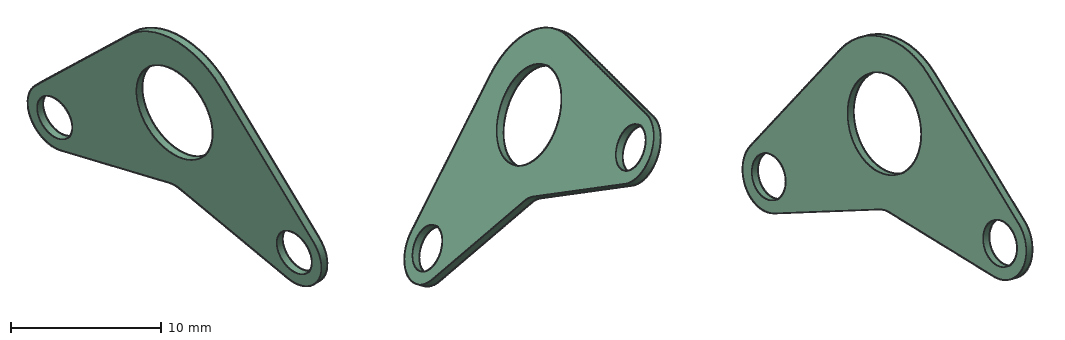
import cadquery as cq
import math

thickness = 0.6
ear_spacing = 22.0
ear_diameter = 5.0
ear_hole_diameter = 3.2
crown_radius = 6.0
crown_height = 6.0
crown_hole_diameter = 7.0
lower_edge_angle = math.radians(13.4)
notch_radius = 2.0

ear_radius = ear_diameter / 2
ear_x = ear_spacing / 2


def arc_point(center, radius, angle):
    """Point on a circle, with the angle measured from +X."""
    return (center[0] + radius * math.cos(angle), center[1] + radius * math.sin(angle))


def mirrored(point):
    """Matching point on the other side of the symmetry line."""
    return (-point[0], point[1])


crown_center = (0, crown_height)
ear_center = (ear_x, 0)
center_distance = math.hypot(ear_x, crown_height)
upper_edge_angle = math.atan2(crown_height, ear_x) + math.asin((crown_radius - ear_radius) / center_distance)
upper_normal = math.pi / 2 - upper_edge_angle
lower_normal = -math.pi / 2 - lower_edge_angle

crown_tangent = arc_point(crown_center, crown_radius, upper_normal)
crown_top = (0, crown_height + crown_radius)
ear_upper = arc_point(ear_center, ear_radius, upper_normal)
ear_outer = (ear_x + ear_radius, 0)
ear_lower = arc_point(ear_center, ear_radius, lower_normal)

notch_apex = (0, ear_x * math.tan(lower_edge_angle) - ear_radius / math.cos(lower_edge_angle))

plate = (
    cq.Workplane("XZ")
    .moveTo(*mirrored(crown_tangent))
    .threePointArc(crown_top, crown_tangent)
    .lineTo(*ear_upper)
    .threePointArc(ear_outer, ear_lower)
    .lineTo(*notch_apex)
    .lineTo(*mirrored(ear_lower))
    .threePointArc(mirrored(ear_outer), mirrored(ear_upper))
    .close()
    .extrude(thickness / 2, both=True)
)

notch_corner = cq.selectors.NearestToPointSelector((0, 0, notch_apex[1]))
plate = plate.edges("|Y").edges(notch_corner).fillet(notch_radius)


def hole(center, diameter):
    """Cylinder that cuts right through the plate."""
    return cq.Workplane("XZ").center(*center).circle(diameter / 2).extrude(thickness, both=True)


plate = plate.cut(hole(crown_center, crown_hole_diameter))
for hole_center in (ear_center, mirrored(ear_center)):
    plate = plate.cut(hole(hole_center, ear_hole_diameter))

result = plate